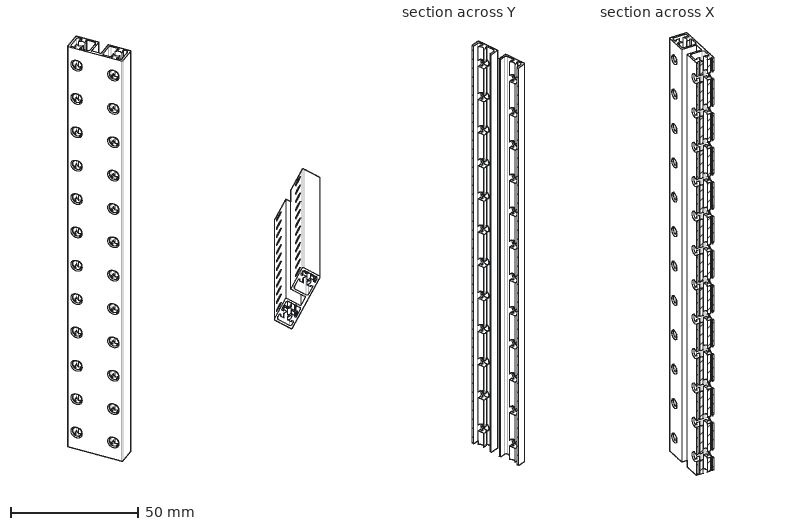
import cadquery as cq

length = 192.0
hole_rows = 12
hole_pitch = length / hole_rows
width = 1.5 * hole_pitch
depth = hole_pitch / 2
column_x = hole_pitch / 2
corner_radius = 0.5

side_wall = 0.92
face_wall = 0.8
channel_width = 4.0
channel_wall = 0.8
channel_floor = 1.3
chamber_radius = 0.8

port_diameter = 3.3
lip_width = 2.9
lip_reach = 2.5
lip_thickness = 1.7
stem_width = 2.0

hole_diameter = 4.0
countersink_diameter = 5.0
countersink_depth = (countersink_diameter - hole_diameter) / 2

chamber_inner_x = channel_width / 2 + channel_wall
chamber_width = width / 2 - side_wall - chamber_inner_x
chamber_depth = depth - 2 * face_wall
SIDES = (-1, 1)


def bar(x_center, y_center, x_size, y_size):
    """Rectangular bar running the full length along Z."""
    return cq.Workplane("XY").center(x_center, y_center).rect(x_size, y_size).extrude(length)


def make_shell():
    """Rounded outer body with an open channel and two closed chambers."""
    body = bar(0, 0, width, depth).edges("|Z").fillet(corner_radius)
    channel_depth = depth - channel_floor
    body = body.cut(bar(0, depth / 2 - channel_depth / 2, channel_width, channel_depth))
    for side in SIDES:
        x_center = side * (chamber_inner_x + chamber_width / 2)
        chamber = bar(x_center, 0, chamber_width, chamber_depth)
        body = body.cut(chamber.edges("|Z").fillet(chamber_radius))
    return body


def make_screw_port(x_center):
    """Pair of stemmed lips whose tips are hollowed by a common round core."""
    wall_y = depth / 2 - face_wall / 2
    lip_tip = chamber_depth / 2 - lip_reach
    port = cq.Workplane("XY")
    for side in SIDES:
        stem_length = wall_y - lip_tip
        stem = bar(x_center, side * (wall_y + lip_tip) / 2, stem_width, stem_length)
        lip = bar(x_center, side * (lip_tip + lip_thickness / 2), lip_width, lip_thickness)
        port = port.add(stem.union(lip))
    core = cq.Workplane("XY").center(x_center, 0).circle(port_diameter / 2).extrude(length)
    return port.combine().cut(core)


def make_hole(x_center, z_center):
    """Through hole along Y, countersunk on the front face."""
    front = cq.Workplane("XZ", origin=(x_center, -depth / 2, z_center))
    drill = front.circle(hole_diameter / 2).extrude(-depth)
    cone = (
        front.circle(countersink_diameter / 2)
        .workplane(offset=-countersink_depth)
        .circle(hole_diameter / 2)
        .loft()
    )
    return drill.union(cone)


result = make_shell()
for side in SIDES:
    result = result.union(make_screw_port(side * column_x))
for side in SIDES:
    for row in range(hole_rows):
        result = result.cut(make_hole(side * column_x, (row + 0.5) * hole_pitch))